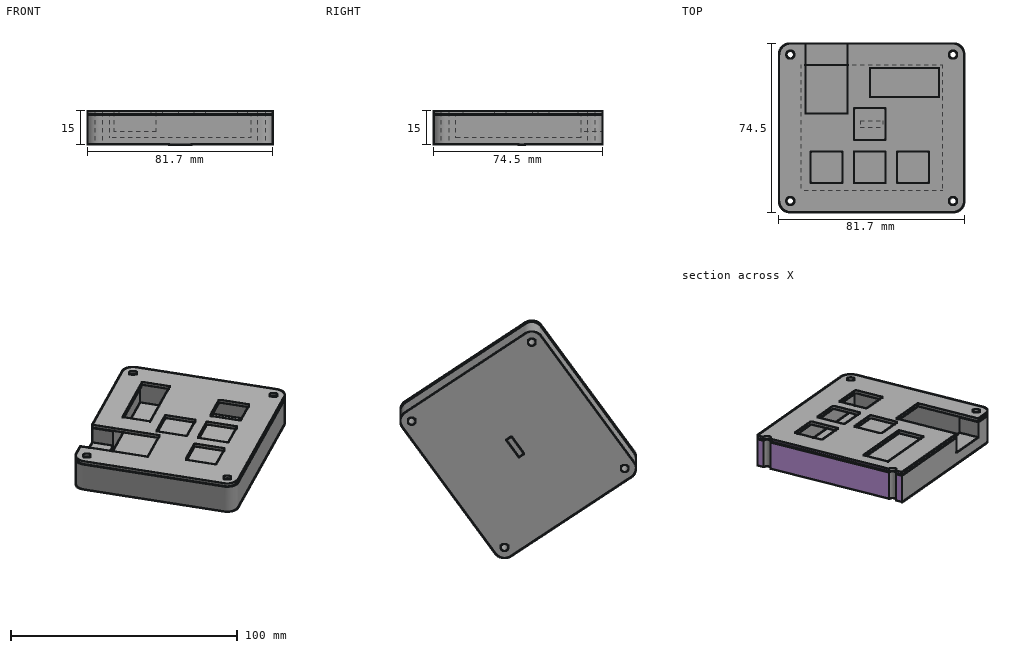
import cadquery as cq

width = 81.7
length = 74.51
total_height = 14.97
corner_radius = 5.0

label_height = 0.2
case_height = 13.0
lid_thickness = 1.5
lid_top = total_height - label_height
lid_bottom = lid_top - lid_thickness
floor_thickness = 3.0

wall_thickness = 9.6
screw_diameter = 3.4
screw_inset = 5.0

bay_width = 18.6
bay_length = 31.0
bay_left_margin = 11.6
bay_center_x = -width / 2 + bay_left_margin + bay_width / 2
bay_ledge_height = 5.6

window_width = 30.5
window_length = 12.7
window_left_margin = 40.1
window_back_margin = 11.0

key_size = 14.0
key_corner_radius = 0.5
key_pitch = 19.05
key_column_x = -0.85
key_row_margin = 19.85
key_row_y = -length / 2 + key_row_margin
key_centers = [
    (key_column_x - key_pitch, key_row_y),
    (key_column_x, key_row_y),
    (key_column_x + key_pitch, key_row_y),
    (key_column_x, key_row_y + key_pitch),
]

label_width = 9.8
label_length = 2.8
label_center_y = 1.6


def rounded_slab(bottom, height):
    """Outer outline with rounded corners, extruded upward from the given height."""
    slab = cq.Workplane("XY").workplane(offset=bottom).rect(width, length).extrude(height)
    return slab.edges("|Z").fillet(corner_radius)


def block(size_x, size_y, bottom, top, center_x=0.0, center_y=0.0):
    """Upright box between two heights, centred at a point in plan."""
    plane = cq.Workplane("XY").workplane(offset=bottom).center(center_x, center_y)
    return plane.rect(size_x, size_y).extrude(top - bottom)


def screw_holes():
    """Four through holes near the corners, long enough for the case and the lid."""
    spacing_x = width - 2 * screw_inset
    spacing_y = length - 2 * screw_inset
    corners = cq.Workplane("XY").rect(spacing_x, spacing_y, forConstruction=True).vertices()
    return corners.circle(screw_diameter / 2).extrude(lid_top)


def make_case():
    """Open tray with thick walls, a notch in the back wall and a label pad below."""
    case = rounded_slab(0, case_height)
    cavity_width = width - 2 * wall_thickness
    cavity_length = length - 2 * wall_thickness
    case = case.cut(block(cavity_width, cavity_length, floor_thickness, case_height))
    notch_center_y = (length - wall_thickness) / 2
    notch = block(bay_width, wall_thickness, bay_ledge_height, case_height, bay_center_x, notch_center_y)
    case = case.cut(notch).cut(screw_holes())
    label = block(label_width, label_length, -label_height, 0, 0, label_center_y)
    return case.union(label)


def make_lid():
    """Flat cover with the bay cutout, the display window and four key openings."""
    lid = rounded_slab(lid_bottom, lid_thickness)
    bay_center_y = (length - bay_length) / 2
    lid = lid.cut(block(bay_width, bay_length, lid_bottom, lid_top, bay_center_x, bay_center_y))
    window_x = -width / 2 + window_left_margin + window_width / 2
    window_y = length / 2 - window_back_margin - window_length / 2
    lid = lid.cut(block(window_width, window_length, lid_bottom, lid_top, window_x, window_y))
    for key_x, key_y in key_centers:
        opening = block(key_size, key_size, lid_bottom, lid_top, key_x, key_y)
        lid = lid.cut(opening.edges("|Z").fillet(key_corner_radius))
    return lid.cut(screw_holes())


case = make_case()
lid = make_lid()

result = cq.Compound.makeCompound([case.val(), lid.val()])